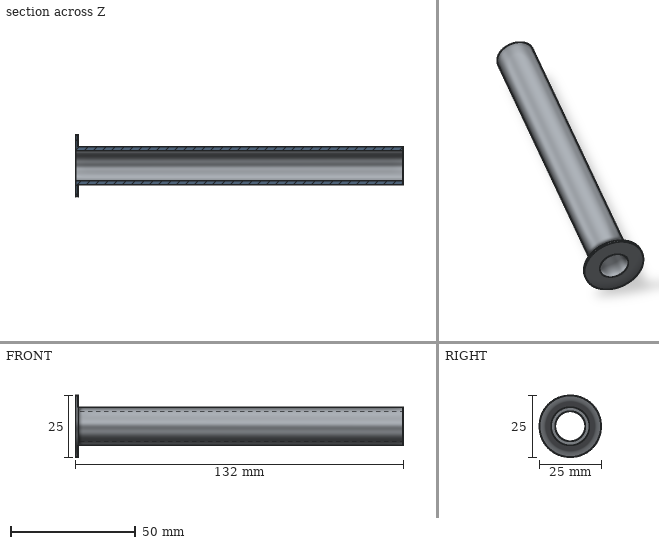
import cadquery as cq

length = 132
flange_diameter = 25.0
flange_thickness = 1.0
tube_diameter = 15.5
bore_diameter = 12.0


def cylinder(diameter, height):
    """Solid cylinder starting at X = 0 and running toward +X."""
    return cq.Workplane("YZ").circle(diameter / 2).extrude(height)


flange = cylinder(flange_diameter, flange_thickness)
tube = cylinder(tube_diameter, length)
bore = cylinder(bore_diameter, length)

result = flange.union(tube).cut(bore)